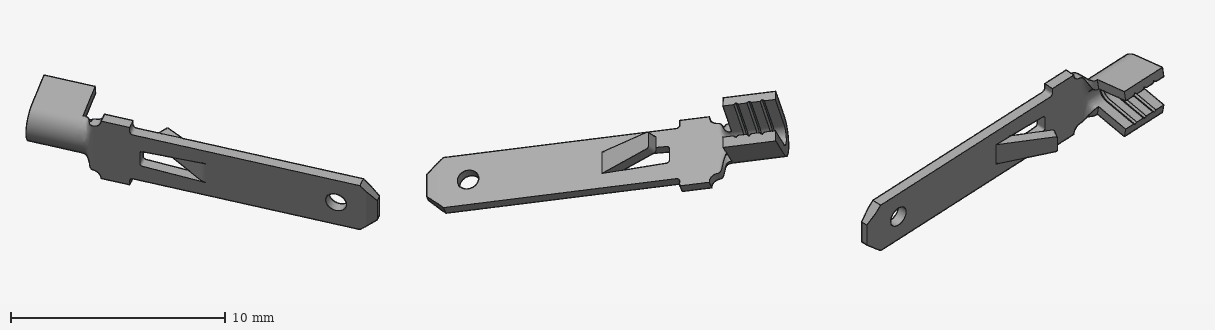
import cadquery as cq
import math

LENGTH = 17.27
SHEET = 0.52
BLADE_WIDTH = 2.76

BARREL_LENGTH = 2.52
BARREL_RADIUS = 1.07
BARREL_HEIGHT = 2.76
WING_SPLAY = 10.0
GROOVE_COUNT = 3
GROOVE_WIDTH = 0.2
GROOVE_DEPTH = 0.09

NECK_STRAIGHT_END = 2.66
NECK_MIDDLE = 2.97
NECK_MIDDLE_BLEND = 0.5
NECK_NEARLY_FLAT = 3.18
NECK_NEARLY_FLAT_BLEND = 0.95
NECK_END = 3.32

EAR_START = 3.7
EAR_END = 5.11
EAR_WIDTH = 3.61
EAR_FRONT_RADIUS = (EAR_WIDTH - BLADE_WIDTH) / 2
EAR_BACK_FILLET = 0.17

TIP_START = 16.44
TIP_WEDGE_START = 16.75
TIP_WIDTH = 1.21
TIP_THICKNESS = 0.35
HOLE_X = 15.27
HOLE_DIAMETER = 1.02

BEND_X = 8.85
BEND_ANGLE = 30.0
WINDOW_LENGTH = 3.23
TONGUE_LENGTH = 2.99
TONGUE_TIP_WIDTH = 0.9
TONGUE_ROOT_WIDTH = 1.17
TONGUE_CORNER_RADIUS = 0.14

INNER_RADIUS = BARREL_RADIUS - SHEET
SPLAY = math.radians(WING_SPLAY)
BEND = math.radians(BEND_ANGLE)


def mirrored(point):
    """The same (y, z) point on the other side of the middle plane."""
    return point[0], -point[1]


def wing_start(radius):
    """Point (y, z) where a wing leaves the arc of this radius about the barrel axis."""
    return BARREL_RADIUS - radius * math.sin(SPLAY), radius * math.cos(SPLAY)


def wing_point(radius, y):
    """Point at height y on the straight wing line that leaves the arc of this radius."""
    start_y, start_z = wing_start(radius)
    return y, start_z + (y - start_y) * math.tan(SPLAY)


def trough(x, radius, *wing_ends):
    """Closed round-bottomed section at x, running up through the given wing ends."""
    start = wing_start(radius)
    ends = list(wing_ends)
    far_side = [mirrored(end) for end in reversed(ends)]
    return (
        cq.Workplane("YZ", origin=(x, 0, 0))
        .moveTo(*mirrored(start))
        .threePointArc((BARREL_RADIUS - radius, 0), start)
        .polyline(ends + far_side, includeCurrent=True)
        .close()
    )


def cavity_section(x, radius):
    """Section of the open space inside the barrel, reaching past the wing tips."""
    return trough(x, radius, wing_point(radius, BARREL_HEIGHT + SHEET))


def groove(x):
    """V-groove that runs up both wings and around the bottom."""
    deepest = INNER_RADIUS + GROOVE_DEPTH
    half_width = GROOVE_WIDTH / 2
    sections = [
        cavity_section(x - half_width, INNER_RADIUS),
        cavity_section(x, deepest),
        cavity_section(x + half_width, INNER_RADIUS),
    ]
    return cq.Workplane(cq.Solid.makeLoft([section.val() for section in sections], True))


def barrel():
    inner_tip = wing_point(INNER_RADIUS, BARREL_HEIGHT)
    outer_tip = wing_point(BARREL_RADIUS, BARREL_HEIGHT - SHEET * math.sin(SPLAY))
    body = trough(0, BARREL_RADIUS, outer_tip, inner_tip).extrude(BARREL_LENGTH)
    body = body.cut(cavity_section(0, INNER_RADIUS).extrude(BARREL_LENGTH))
    pitch = BARREL_LENGTH / (GROOVE_COUNT + 1)
    for number in range(GROOVE_COUNT):
        body = body.cut(groove(pitch * (number + 1)))
    return body


def blended_edge(radius, flat_y, blend):
    """Edge point of the neck between the wing start (blend 0) and the flat blade edge (blend 1)."""
    start_y, start_z = wing_start(radius)
    return start_y + (flat_y - start_y) * blend, start_z + (BLADE_WIDTH / 2 - start_z) * blend


def neck_section(x, blend):
    outer = blended_edge(BARREL_RADIUS, 0, blend)
    inner = blended_edge(INNER_RADIUS, SHEET, blend)
    outline = cq.Workplane("YZ", origin=(x, 0, 0)).moveTo(*outer)
    if blend == 1:
        outline = outline.lineTo(*mirrored(outer)).lineTo(*mirrored(inner)).lineTo(*inner)
    else:
        outline = outline.threePointArc((0, 0), mirrored(outer)).lineTo(*mirrored(inner))
        outline = outline.threePointArc((SHEET, 0), inner)
    return outline.close().val()


def neck():
    sections = [
        neck_section(BARREL_LENGTH, 0),
        neck_section(NECK_STRAIGHT_END, 0),
        neck_section(NECK_MIDDLE, NECK_MIDDLE_BLEND),
        neck_section(NECK_NEARLY_FLAT, NECK_NEARLY_FLAT_BLEND),
        neck_section(NECK_END, 1),
    ]
    return cq.Workplane(cq.Solid.makeLoft(sections, False))


def plan():
    """Plan sketch plane: X along the terminal, Z across it. Extrude -SHEET to fill the sheet."""
    return cq.Workplane("XZ")


def blade():
    edge = BLADE_WIDTH / 2
    half = (
        plan()
        .moveTo(NECK_END, 0)
        .lineTo(NECK_END, edge)
        .radiusArc((EAR_START, EAR_WIDTH / 2), -EAR_FRONT_RADIUS)
        .lineTo(EAR_END, EAR_WIDTH / 2)
        .lineTo(EAR_END, edge + EAR_BACK_FILLET)
        .radiusArc((EAR_END + EAR_BACK_FILLET, edge), -EAR_BACK_FILLET)
        .lineTo(TIP_START, edge)
        .lineTo(LENGTH, TIP_WIDTH / 2)
        .lineTo(LENGTH, 0)
        .close()
        .extrude(-SHEET)
    )
    whole = half.union(half.mirror("XY"))
    hole = plan().center(HOLE_X, 0).circle(HOLE_DIAMETER / 2).extrude(-SHEET)
    return whole.cut(hole).intersect(tip_wedge())


def tip_wedge():
    """Blade envelope whose two faces slope together towards the tip."""
    lead_in = (SHEET - TIP_THICKNESS) / 2
    return (
        cq.Workplane("XY")
        .polyline(
            [
                (0, 0),
                (TIP_WEDGE_START, 0),
                (LENGTH, lead_in),
                (LENGTH, SHEET - lead_in),
                (TIP_WEDGE_START, SHEET),
                (0, SHEET),
            ]
        )
        .close()
        .extrude(EAR_WIDTH, both=True)
    )


def tapered_strip(length):
    """Flat strip ending at the bend, narrowing to a free end with rounded corners."""
    tip_x = BEND_X - length
    return (
        plan()
        .polyline(
            [
                (tip_x, TONGUE_TIP_WIDTH / 2),
                (BEND_X, TONGUE_ROOT_WIDTH / 2),
                (BEND_X, -TONGUE_ROOT_WIDTH / 2),
                (tip_x, -TONGUE_TIP_WIDTH / 2),
            ]
        )
        .close()
        .extrude(-SHEET)
        .edges("|Y and <X")
        .fillet(TONGUE_CORNER_RADIUS)
    )


def tongue():
    """Strip turned about the far-side edge of the window, with its outer bend filled by a sector."""
    axis_start = (BEND_X, SHEET, 0)
    axis_end = (BEND_X, SHEET, 1)
    strip = tapered_strip(TONGUE_LENGTH).rotate(axis_start, axis_end, -BEND_ANGLE)

    def bend_point(angle):
        return BEND_X - SHEET * math.sin(angle), SHEET - SHEET * math.cos(angle)

    bend = (
        cq.Workplane("XY")
        .moveTo(BEND_X, SHEET)
        .lineTo(*bend_point(0))
        .threePointArc(bend_point(BEND / 2), bend_point(BEND))
        .close()
        .extrude(TONGUE_ROOT_WIDTH / 2, both=True)
    )
    return strip.union(bend)


result = blade().cut(tapered_strip(WINDOW_LENGTH)).union(tongue()).union(neck()).union(barrel())